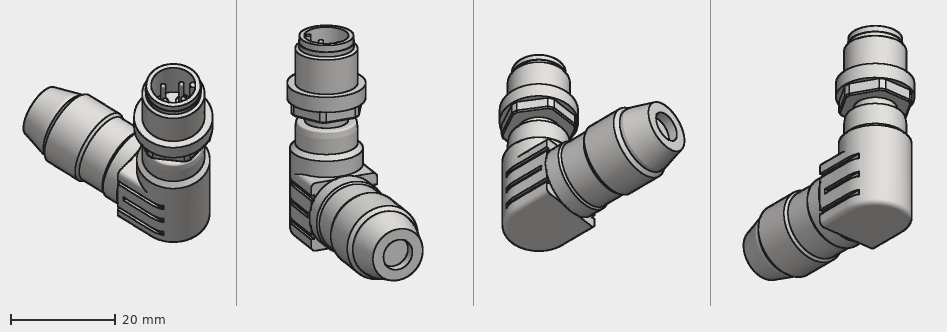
import cadquery as cq
import math


ELBOW_RADIUS = 14.02 / 2
SLEEVE_RADIUS = 12.0 / 2
NUT_RADIUS = 15.0 / 2
FLANGE_RADIUS = 15.1 / 2

CABLE_END = -32.4
CONE_END = -27.15
CONE_RIM_END = -26.35
NUT_START = -25.5
NUT_END = -18.05
WAIST_START = -17.42
WAIST_END = -11.8
COLLAR_START = -11.35
COLLAR_END = -8.08
CABLE_END_RADIUS = 10.58 / 2
CONE_RADIUS = 13.5 / 2
COLLAR_RADIUS = 14.7 / 2
CABLE_HOLE_DIAMETER = 6.1
CABLE_HOLE_DEPTH = 2.0

ELBOW_ROUNDING = 1.02
GROOVE_WIDTH = 1.0
GROOVE_DEPTH = 0.6
GROOVE_PITCH = 4.0
GROOVE_END = 2.65
MIDDLE_GROOVE_START = -6.65

PLUG_TOP = 41 - NUT_RADIUS
SHOULDER_BOTTOM = 10.35
SHOULDER_TOP = 11.3
TAPER_START = 14.5
NECK_RIM = 15.6
NECK_TOP = 16.05
TAPER_RADIUS = 5.85
HEX_BOTTOM = 18.15
FLANGE_BOTTOM = 20.62
FLANGE_TOP = 23.75
SLEEVE_TOP = 30.85
LIP_FOOT = 31.15
LIP_TOP = 32.15
STEM_RADIUS = 8.4 / 2
LIP_RADIUS = 10.7 / 2
LIP_FOOT_RADIUS = 10.58 / 2
TIP_RADIUS = 10.4 / 2

HEX_ACROSS_FLATS = 13.05
HEX_TRIM_DIAMETER = 14.4
HEX_CHAMFER = 0.3

SOCKET_MOUTH_RADIUS = 8.5 / 2
SOCKET_FLOOR_RADIUS = 8.25 / 2
SOCKET_DEPTH = 7.4
SEAT_DIAMETER = 2.2
SEAT_DEPTH = 0.2
PIN_DIAMETER = 1.0
PIN_PITCH_RADIUS = 2.5
PIN_COUNT = 4
PIN_TOP = PLUG_TOP - 1.85
PIN_ROUNDING = 0.4
KEY_DIAMETER = 1.25
KEY_PITCH_RADIUS = 3.8
KEY_ANGLE = 45
KEY_TOP = PLUG_TOP - 0.5


def vertical_cylinder(diameter, bottom, top, x=0.0, y=0.0):
    return cq.Workplane("XY", origin=(x, y, bottom)).circle(diameter / 2).extrude(top - bottom)


def polar_point(radius, degrees):
    angle = math.radians(degrees)
    return radius * math.cos(angle), radius * math.sin(angle)


def cable_gland():
    """Stepped body revolved about X, with a blind cable hole in its end."""
    outline = [
        (CABLE_END, 0),
        (CABLE_END, CABLE_END_RADIUS),
        (CONE_END, CONE_RADIUS),
        (CONE_RIM_END, CONE_RADIUS),
        (NUT_START, NUT_RADIUS),
        (NUT_END, NUT_RADIUS),
        (WAIST_START, ELBOW_RADIUS),
        (WAIST_END, ELBOW_RADIUS),
        (COLLAR_START, COLLAR_RADIUS),
        (COLLAR_END, COLLAR_RADIUS),
        (COLLAR_END, 0),
    ]
    body = cq.Workplane("XZ").polyline(outline).close().revolve(360, (0, 0, 0), (1, 0, 0))
    hole = (
        cq.Workplane("YZ", origin=(CABLE_END, 0, 0))
        .circle(CABLE_HOLE_DIAMETER / 2)
        .extrude(CABLE_HOLE_DEPTH)
    )
    return body.cut(hole)


def elbow():
    """Rounded block meeting an upright cylinder, with grooves on both sides."""
    block = (
        cq.Workplane("YZ", origin=(COLLAR_END, 0, 0))
        .rect(2 * ELBOW_RADIUS, 2 * ELBOW_RADIUS)
        .extrude(-COLLAR_END)
        .edges("|X")
        .fillet(ELBOW_ROUNDING)
    )
    upright = (
        vertical_cylinder(2 * ELBOW_RADIUS, -ELBOW_RADIUS, SHOULDER_BOTTOM)
        .faces("<Z")
        .edges()
        .fillet(ELBOW_ROUNDING)
    )
    body = block.union(upright)
    for side in (-1, 1):
        for row in (-1, 0, 1):
            start = MIDDLE_GROOVE_START if row == 0 else COLLAR_END
            groove = cq.Workplane("XY").box(GROOVE_END - start, 2 * GROOVE_DEPTH, GROOVE_WIDTH)
            middle = (start + GROOVE_END) / 2
            body = body.cut(groove.translate((middle, side * ELBOW_RADIUS, row * GROOVE_PITCH)))
    return body


def upright_plug():
    """Neck, stem, flange and sleeve revolved about Z."""
    rim_rounding = NECK_TOP - NECK_RIM
    rim_middle = polar_point(rim_rounding, 45)
    rim_centre_radius = TAPER_RADIUS - rim_rounding
    outline = (
        cq.Workplane("XZ")
        .moveTo(0, SHOULDER_BOTTOM)
        .lineTo(ELBOW_RADIUS, SHOULDER_BOTTOM)
        .lineTo(SLEEVE_RADIUS, SHOULDER_TOP)
        .lineTo(SLEEVE_RADIUS, TAPER_START)
        .lineTo(TAPER_RADIUS, NECK_RIM)
        .threePointArc(
            (rim_centre_radius + rim_middle[0], NECK_RIM + rim_middle[1]),
            (rim_centre_radius, NECK_TOP),
        )
        .lineTo(STEM_RADIUS, NECK_TOP)
        .lineTo(STEM_RADIUS, FLANGE_BOTTOM)
        .lineTo(FLANGE_RADIUS, FLANGE_BOTTOM)
        .lineTo(FLANGE_RADIUS, FLANGE_TOP)
        .lineTo(SLEEVE_RADIUS, FLANGE_TOP)
        .lineTo(SLEEVE_RADIUS, SLEEVE_TOP)
        .lineTo(LIP_FOOT_RADIUS, LIP_FOOT)
        .lineTo(LIP_RADIUS, LIP_TOP)
        .lineTo(TIP_RADIUS, LIP_TOP)
        .lineTo(TIP_RADIUS, PLUG_TOP)
        .lineTo(0, PLUG_TOP)
        .close()
    )
    return outline.revolve(360, (0, 0, 0), (0, 1, 0))


def hexagon():
    """Hexagon with two flats facing along X and chamfered lower edges."""
    across_corners = HEX_ACROSS_FLATS / math.cos(math.radians(30))
    prism = (
        cq.Workplane("XY", origin=(0, 0, HEX_BOTTOM))
        .transformed(rotate=(0, 0, 30))
        .polygon(6, across_corners)
        .extrude(FLANGE_BOTTOM - HEX_BOTTOM)
    )
    trim = vertical_cylinder(HEX_TRIM_DIAMETER, HEX_BOTTOM, FLANGE_BOTTOM)
    return prism.intersect(trim).faces("<Z").edges().chamfer(HEX_CHAMFER)


def cut_socket(body):
    """Slightly tapered socket with a shallow seat at its centre and around each pin."""
    floor = PLUG_TOP - SOCKET_DEPTH
    seat_floor = floor - SEAT_DEPTH
    outline = [
        (0, floor),
        (SOCKET_FLOOR_RADIUS, floor),
        (SOCKET_MOUTH_RADIUS, PLUG_TOP),
        (0, PLUG_TOP),
    ]
    socket = cq.Workplane("XZ").polyline(outline).close().revolve(360, (0, 0, 0), (0, 1, 0))
    body = body.cut(socket)
    body = body.cut(vertical_cylinder(SEAT_DIAMETER, seat_floor, floor))
    for index in range(PIN_COUNT):
        x, y = polar_point(PIN_PITCH_RADIUS, index * 360 / PIN_COUNT)
        body = body.cut(vertical_cylinder(SEAT_DIAMETER, seat_floor, floor, x, y))
        pin = vertical_cylinder(PIN_DIAMETER, seat_floor, PIN_TOP, x, y)
        body = body.union(pin.faces(">Z").edges().fillet(PIN_ROUNDING))
    return body


def socket_key():
    """Round coding key along the socket wall."""
    x, y = polar_point(KEY_PITCH_RADIUS, KEY_ANGLE)
    return vertical_cylinder(KEY_DIAMETER, PLUG_TOP - SOCKET_DEPTH, KEY_TOP, x, y)


plug = cut_socket(upright_plug().union(hexagon())).union(socket_key())
result = cable_gland().union(elbow()).union(plug)